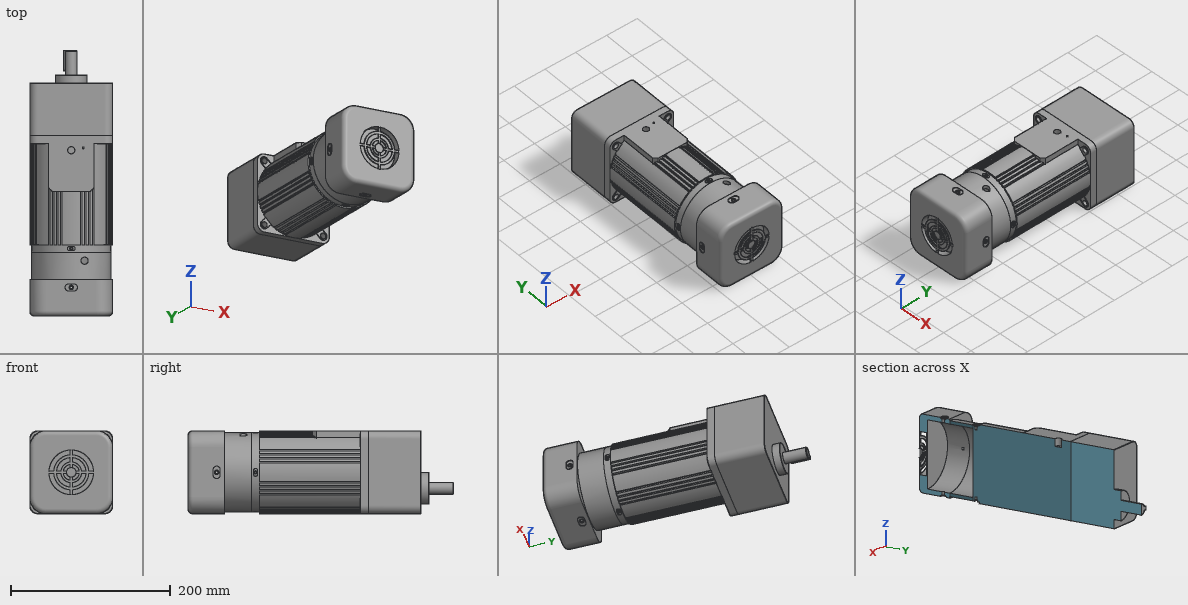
import cadquery as cq

frame = 104.0
half_frame = frame / 2
frame_corner_radius = 10.0
head_depth = 1.0

gearbox_length = 65.5
boss_radius = 20.0
boss_length = 10.0
shaft_radius = 7.5
shaft_length = 31.0
shaft_chamfer = 1.0
front_chamfer = 0.5
shaft_drop = 20.0
key_width = 5.0
key_height = 2.0
key_length = 25.5

flange_length = 10.0
stator_length = 127.0
bracket_length = 9.5
sleeve_radius = 50.0
groove_floor_radius = sleeve_radius
groove_width = 2.0
groove_pitch = 5.0
first_groove = 12.5
grooves_per_group = 4
bolt_circle_radius = 60.0
bolt_hole_radius = 3.75
bolt_pad_radius = 5.5
bolt_pad_height = 1.0
terminal_width = 57.0
terminal_length = 60.5
terminal_floor = 40.0
terminal_chamfer = 5.0
cable_hole_radius = 4.5
terminal_hole_depth = 10.0
cable_hole_y = -18.5
pin_hole_radius = 1.2
pin_hole_x = 15.0
pin_hole_y = -15.5
bracket_screw_y = -141.7
bracket_seat_length = 10.0
bracket_seat_width = 5.0
bracket_seat_depth = 1.0
bracket_head_radius = 2.0
bracket_screw_radius = 1.25
bracket_screw_depth = 6.0

sleeve_length = 34.0
bore_radius = 45.0
sleeve_hole_x = 16.7
sleeve_hole_y = -157.0

cover_length = 46.0
cover_corner_radius = 20.5
cover_edge_radius = 6.0
partition = 2.5
cover_screw_setback = 10.0
cover_seat_length = 15.5
cover_seat_width = 9.0
cover_seat_depth = 1.0
cover_screw_depth = 10.0
cover_head_radius = 2.75
cover_screw_radius = 1.6
vent_rings = [(6.0, 10.0), (13.0, 18.5), (22.0, 28.0)]
vent_spoke_width = 3.0
hub_recess = 0.5
grille_thickness = 1.5
vent_chamber_depth = 9.0

flange_rear = -flange_length
stator_rear = flange_rear - stator_length
bracket_rear = stator_rear - bracket_length
sleeve_rear = bracket_rear - sleeve_length
cover_rear = sleeve_rear - cover_length
cover_screw_y = sleeve_rear - cover_screw_setback


def plane_at(y):
    """Sketch plane across the axis at the given Y; its normal points to -Y."""
    return cq.Workplane("XZ", origin=(0, y, 0))


def cylinder(y, length, radius, x=0.0, z=0.0):
    """Cylinder along the axis that starts at y and runs towards -Y."""
    return plane_at(y).center(x, z).circle(radius).extrude(length)


def rounded_square(y, length, corner_radius):
    """Square frame section that starts at y and runs towards -Y."""
    return plane_at(y).rect(frame, frame).extrude(length).edges("|Y").fillet(corner_radius)


def turned(shape, angle):
    """Copy of a shape turned about the motor axis."""
    return shape.rotate((0, 0, 0), (0, 1, 0), angle)


def drilled_down(x, y, top, radius, depth):
    """Vertical round tool that goes down from the given height."""
    return cq.Workplane("XY", origin=(x, y, top)).circle(radius).extrude(-depth)


def screw_seat(y, top, length, width, seat_depth, head_radius, hole_radius, hole_depth):
    """Oblong seat across the axis with a stepped screw hole in its middle."""
    seat = cq.Workplane("XY", origin=(0, y, top)).slot2D(length, width).extrude(-seat_depth)
    head = drilled_down(0, y, top, head_radius, seat_depth + head_depth)
    return seat.union(head).union(drilled_down(0, y, top, hole_radius, hole_depth))


def make_gearbox():
    body = rounded_square(gearbox_length, gearbox_length, frame_corner_radius)
    body = body.faces(">Y").chamfer(front_chamfer)
    boss_front = gearbox_length + boss_length
    boss = cylinder(boss_front, boss_length, boss_radius, z=-shaft_drop)
    boss = boss.faces(">Y").chamfer(front_chamfer)
    tip = boss_front + shaft_length
    shaft = cylinder(tip, shaft_length, shaft_radius, z=-shaft_drop)
    shaft = shaft.faces(">Y").chamfer(shaft_chamfer)

    key_end = tip - key_length
    key_reach = shaft_radius + key_height
    key = (
        cq.Workplane("YZ", origin=(0, 0, -shaft_drop))
        .moveTo(tip, -key_width / 2)
        .lineTo(tip, key_width / 2)
        .lineTo(key_end + key_width / 2, key_width / 2)
        .threePointArc((key_end, 0), (key_end + key_width / 2, -key_width / 2))
        .close()
        .extrude(-key_reach)
    )
    return body.union(boss).union(shaft).union(key)


def groove_group():
    """Cooling grooves on the top of the stator, mirrored about the centre plane."""
    offsets = [first_groove + i * groove_pitch for i in range(grooves_per_group)]
    centres = [(side * x, half_frame / 2) for x in offsets for side in (-1, 1)]
    slots = plane_at(flange_rear).pushPoints(centres).rect(groove_width, half_frame).extrude(stator_length)
    return slots.cut(cylinder(flange_rear, stator_length, groove_floor_radius))


def bolt_pad():
    """Raised pad on the flange rear, on the +Z axis: round outside and straight towards the stator."""
    pad = cylinder(flange_rear, bolt_pad_height, bolt_pad_radius, z=bolt_circle_radius)
    run = bolt_circle_radius - half_frame / 2
    straight = (
        plane_at(flange_rear)
        .center(0, bolt_circle_radius - run / 2)
        .rect(2 * bolt_pad_radius, run)
        .extrude(bolt_pad_height)
    )
    return pad.union(straight)


def bolt_hole():
    """Bolt hole on the +Z axis, through the flange and its pad."""
    return cylinder(0, flange_length + bolt_pad_height, bolt_hole_radius, z=bolt_circle_radius)


def make_motor():
    flange = rounded_square(0, flange_length, frame_corner_radius)
    stator = cylinder(flange_rear, stator_length, half_frame)
    grooves = groove_group()
    for quarter in range(4):
        stator = stator.cut(turned(grooves, 90 * quarter))
        corner = 45 + 90 * quarter
        flange = flange.union(turned(bolt_pad(), corner)).cut(turned(bolt_hole(), corner))

    terminal_height = half_frame - terminal_floor
    terminal = (
        cq.Workplane("XY")
        .box(terminal_width, terminal_length, terminal_height, centered=(True, False, False))
        .translate((0, flange_rear - terminal_length, terminal_floor))
        .edges("|Z and <Y")
        .chamfer(terminal_chamfer)
    )

    bracket = cylinder(stator_rear, bracket_length, sleeve_radius)
    screw = screw_seat(
        bracket_screw_y, sleeve_radius, bracket_seat_length, bracket_seat_width,
        bracket_seat_depth, bracket_head_radius, bracket_screw_radius, bracket_screw_depth,
    )
    for quarter in range(4):
        bracket = bracket.cut(turned(screw, 90 * quarter))
    motor = flange.union(stator).union(bracket).union(terminal)
    motor = motor.cut(drilled_down(0, cable_hole_y, half_frame, cable_hole_radius, terminal_hole_depth))
    return motor.cut(drilled_down(pin_hole_x, pin_hole_y, half_frame, pin_hole_radius, terminal_hole_depth))


def make_brake_sleeve():
    sleeve = plane_at(bracket_rear).circle(sleeve_radius).circle(bore_radius).extrude(sleeve_length)
    hole = drilled_down(sleeve_hole_x, sleeve_hole_y, sleeve_radius, cable_hole_radius, sleeve_radius)
    return sleeve.cut(hole)


def vent_cut():
    """Thin grille of ring slots and a cross of spokes, with a round chamber behind it."""
    grille_inner = cover_rear + grille_thickness
    chamber_radius = vent_rings[-1][1]
    cut = cylinder(grille_inner + vent_chamber_depth, vent_chamber_depth, chamber_radius)
    slots = cq.Workplane("XZ")
    for inner, outer in vent_rings:
        slots = slots.union(plane_at(grille_inner).circle(outer).circle(inner).extrude(grille_thickness))
    for angle in (0, 90):
        spoke = plane_at(grille_inner).rect(2 * chamber_radius, vent_spoke_width).extrude(grille_thickness)
        slots = slots.cut(turned(spoke, angle))
    return cut.union(slots)


def make_fan_cover():
    cover = rounded_square(sleeve_rear, cover_length, cover_corner_radius)
    cover = cover.faces("<Y").edges().fillet(cover_edge_radius)
    bore_length = cover_length - grille_thickness - vent_chamber_depth - partition
    cover = cover.cut(cylinder(sleeve_rear, bore_length, bore_radius))
    cover = cover.cut(vent_cut())
    hub_radius = vent_rings[0][0]
    cover = cover.cut(cylinder(cover_rear + hub_recess, hub_recess, hub_radius))
    screw = screw_seat(
        cover_screw_y, half_frame, cover_seat_length, cover_seat_width,
        cover_seat_depth, cover_head_radius, cover_screw_radius, cover_screw_depth,
    )
    for quarter in range(4):
        cover = cover.cut(turned(screw, 90 * quarter))
    return cover


gearbox = make_gearbox()
motor = make_motor()
brake_sleeve = make_brake_sleeve()
fan_cover = make_fan_cover()

result = cq.Compound.makeCompound([gearbox.val(), motor.val(), brake_sleeve.val(), fan_cover.val()])